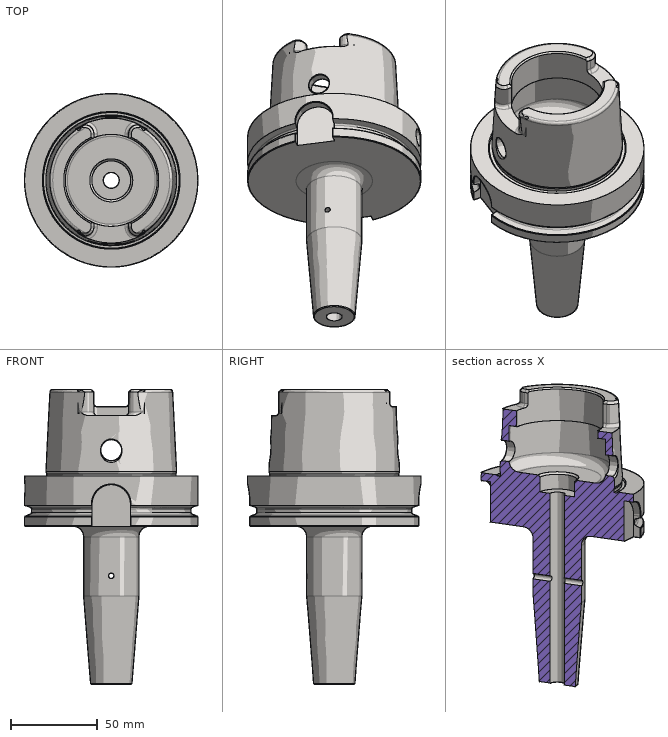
import cadquery as cq
import math


SHANK_LENGTH = 49.9
SHANK_BASE_RADIUS = 37.85
SHANK_TAPER = 0.05
SHANK_TOP_ROUND = 1.7
RELIEF_HEIGHT = 2.5
RELIEF_RADIUS = 37.3
RELIEF_FACE_RADIUS = 39.7
RELIEF_DEPTH = 0.6

FLANGE_RADIUS = 50.0
FLANGE_HEIGHT = 29.0
GROOVE_CENTRE_Z = -20.0
GROOVE_FLOOR_RADIUS = 46.0
GROOVE_FLOOR_WIDTH = 3.4
GROOVE_MOUTH_WIDTH = 6.2
GROOVE_FILLET = 1.1
RIM_CHAMFER = 0.4

TOTAL_NOSE = 120.0
NECK_RADIUS = 16.0
NECK_FILLET = 6.0
TIP_RADIUS = 12.0
TIP_EDGE = 0.5
NOSE_CONE_ANGLE = 4.5

BORE_RADIUS = 26.5
BORE_CHAMFER = 0.9
BORE_LENGTH = 19.7
CAVITY_RADIUS = 31.5
CAVITY_WALL_DEPTH = 40.2
CAVITY_FILLET = 6.2
CAVITY_WALL_END_Z = SHANK_LENGTH - CAVITY_WALL_DEPTH
CAVITY_FLOOR_Z = CAVITY_WALL_END_Z - CAVITY_FILLET
POCKET_RADIUS = 11.2
POCKET_MOUTH_RADIUS = 12.4
POCKET_DEPTH = 10.0
COOLANT_RADIUS = 4.5

SLOT_WIDTH = 20.0
SLOT_DEPTH_FRONT = 15.1
SLOT_DEPTH_REAR = 10.0
SLOT_POST_RADIUS = 5.2
SLOT_POST_Y = 26.8
SLOT_POST_WRAP = 20.0
SLOT_FLOOR_FILLET = 2.0
SLOT_MOUTH_CHAMFER = 1.6

KEYWAY_WIDTH = 22.0
KEYWAY_TOP_Z = -5.0
KEYWAY_FLOOR_Y = 44.0
KEYWAY_CHAMFER = 0.4
KEYWAY_RIM_Y = 48.6

SHANK_HOLE_DIAMETER = 12.0
SHANK_HOLE_Z = 14.9
SHANK_HOLE_CONE_Y = 36.4
SHANK_HOLE_SINK = 3.0
SHANK_HOLE_OVERLAP = 0.6
CHIP_HOLE_DIAMETER = 10.0
CHIP_HOLE_Z = -7.0
CHIP_HOLE_DEPTH = 4.6
NECK_HOLE_DIAMETER = 3.0
NECK_HOLE_Z = -57.5

MARGIN = 5.0


def shank_radius(z):
    return SHANK_BASE_RADIUS - SHANK_TAPER * z


def outer_body():
    cone_length = (NECK_RADIUS - TIP_RADIUS) / math.tan(math.radians(NOSE_CONE_ANGLE))
    fillet_mid = NECK_FILLET * (1 - math.sqrt(0.5))
    round_start = SHANK_LENGTH - SHANK_TOP_ROUND
    round_mid = SHANK_TOP_ROUND * (1 - math.sqrt(0.5))
    top_radius = shank_radius(round_start)
    return (
        cq.Workplane("XZ")
        .moveTo(0, -TOTAL_NOSE)
        .lineTo(TIP_RADIUS - TIP_EDGE, -TOTAL_NOSE)
        .lineTo(TIP_RADIUS, -TOTAL_NOSE + TIP_EDGE)
        .lineTo(NECK_RADIUS, -TOTAL_NOSE + cone_length)
        .lineTo(NECK_RADIUS, -FLANGE_HEIGHT - NECK_FILLET)
        .threePointArc(
            (NECK_RADIUS + fillet_mid, -FLANGE_HEIGHT - fillet_mid),
            (NECK_RADIUS + NECK_FILLET, -FLANGE_HEIGHT),
        )
        .lineTo(FLANGE_RADIUS - RIM_CHAMFER, -FLANGE_HEIGHT)
        .lineTo(FLANGE_RADIUS, -FLANGE_HEIGHT + RIM_CHAMFER)
        .lineTo(FLANGE_RADIUS, 0)
        .lineTo(RELIEF_FACE_RADIUS, 0)
        .lineTo(RELIEF_FACE_RADIUS - RELIEF_DEPTH, -RELIEF_DEPTH)
        .lineTo(RELIEF_RADIUS, -RELIEF_DEPTH)
        .lineTo(RELIEF_RADIUS, RELIEF_HEIGHT / 2)
        .lineTo(shank_radius(RELIEF_HEIGHT), RELIEF_HEIGHT)
        .lineTo(top_radius, round_start)
        .threePointArc(
            (top_radius - round_mid, SHANK_LENGTH - round_mid),
            (top_radius - SHANK_TOP_ROUND, SHANK_LENGTH),
        )
        .lineTo(0, SHANK_LENGTH)
        .close()
        .revolve(360, (0, 0), (0, 1))
    )


def gripper_groove():
    half_mouth = GROOVE_MOUTH_WIDTH / 2
    half_floor = GROOVE_FLOOR_WIDTH / 2
    lower_mouth_z = GROOVE_CENTRE_Z - half_mouth
    return (
        cq.Workplane("XZ")
        .moveTo(GROOVE_FLOOR_RADIUS, GROOVE_CENTRE_Z - half_floor)
        .lineTo(FLANGE_RADIUS - RIM_CHAMFER, lower_mouth_z)
        .lineTo(FLANGE_RADIUS + RIM_CHAMFER, lower_mouth_z - 2 * RIM_CHAMFER)
        .lineTo(FLANGE_RADIUS + RIM_CHAMFER, GROOVE_CENTRE_Z + half_mouth)
        .lineTo(FLANGE_RADIUS, GROOVE_CENTRE_Z + half_mouth)
        .lineTo(GROOVE_FLOOR_RADIUS, GROOVE_CENTRE_Z + half_floor)
        .close()
        .revolve(360, (0, 0), (0, 1))
        .edges(cq.selectors.RadiusNthSelector(0))
        .fillet(GROOVE_FILLET)
    )


def axial_bores():
    fillet_mid = CAVITY_FILLET * (1 - math.sqrt(0.5))
    shoulder_z = SHANK_LENGTH - BORE_LENGTH
    pocket_z = CAVITY_FLOOR_Z - POCKET_DEPTH
    pocket_step = POCKET_MOUTH_RADIUS - POCKET_RADIUS
    return (
        cq.Workplane("XZ")
        .moveTo(0, -TOTAL_NOSE - MARGIN)
        .lineTo(COOLANT_RADIUS, -TOTAL_NOSE - MARGIN)
        .lineTo(COOLANT_RADIUS, pocket_z)
        .lineTo(POCKET_RADIUS, pocket_z)
        .lineTo(POCKET_RADIUS, CAVITY_FLOOR_Z - pocket_step)
        .lineTo(POCKET_MOUTH_RADIUS, CAVITY_FLOOR_Z)
        .lineTo(CAVITY_RADIUS - CAVITY_FILLET, CAVITY_FLOOR_Z)
        .threePointArc(
            (CAVITY_RADIUS - fillet_mid, CAVITY_FLOOR_Z + fillet_mid),
            (CAVITY_RADIUS, CAVITY_WALL_END_Z),
        )
        .lineTo(CAVITY_RADIUS, shoulder_z)
        .lineTo(BORE_RADIUS, shoulder_z)
        .lineTo(BORE_RADIUS, SHANK_LENGTH - BORE_CHAMFER)
        .lineTo(BORE_RADIUS + BORE_CHAMFER, SHANK_LENGTH)
        .lineTo(BORE_RADIUS + BORE_CHAMFER, SHANK_LENGTH + MARGIN)
        .lineTo(0, SHANK_LENGTH + MARGIN)
        .close()
        .revolve(360, (0, 0), (0, 1))
    )


def slot_outline(z):
    """Slot toward +Y whose walls wrap round a post at each side before running outward."""
    half = SLOT_WIDTH / 2
    post_x = half + SLOT_POST_RADIUS
    post_angle = math.atan2(SLOT_POST_Y, post_x)
    exit_angle = post_angle - math.radians(SLOT_POST_WRAP)
    mid_angle = (math.pi + exit_angle) / 2
    mid_x = post_x + SLOT_POST_RADIUS * math.cos(mid_angle)
    mid_y = SLOT_POST_Y + SLOT_POST_RADIUS * math.sin(mid_angle)
    exit_x = post_x + SLOT_POST_RADIUS * math.cos(exit_angle)
    exit_y = SLOT_POST_Y + SLOT_POST_RADIUS * math.sin(exit_angle)
    outer_x = FLANGE_RADIUS * math.cos(post_angle)
    outer_y = FLANGE_RADIUS * math.sin(post_angle)
    return (
        cq.Workplane("XY", origin=(0, 0, z))
        .moveTo(-half, 0)
        .lineTo(-half, SLOT_POST_Y)
        .threePointArc((-mid_x, mid_y), (-exit_x, exit_y))
        .lineTo(-outer_x, outer_y)
        .lineTo(outer_x, outer_y)
        .lineTo(exit_x, exit_y)
        .threePointArc((mid_x, mid_y), (half, SLOT_POST_Y))
        .lineTo(half, 0)
        .close()
    )


def drive_slot(depth):
    groove = (
        slot_outline(SHANK_LENGTH - depth)
        .extrude(depth)
        .faces("<Z")
        .edges()
        .fillet(SLOT_FLOOR_FILLET)
    )
    mouth = slot_outline(SHANK_LENGTH - SLOT_MOUTH_CHAMFER).extrude(SLOT_MOUTH_CHAMFER, taper=-45)
    return groove.union(mouth)


def keyway():
    """Round-topped keyway toward +Y, open at the lower flange face."""
    radius = KEYWAY_WIDTH / 2
    arc_z = KEYWAY_TOP_Z - radius
    bottom = -FLANGE_HEIGHT - MARGIN
    return (
        cq.Workplane("XZ", origin=(0, KEYWAY_FLOOR_Y, 0))
        .moveTo(-radius, bottom)
        .lineTo(-radius, arc_z)
        .threePointArc((0, KEYWAY_TOP_Z), (radius, arc_z))
        .lineTo(radius, bottom)
        .close()
        .extrude(-(FLANGE_RADIUS - KEYWAY_FLOOR_Y + MARGIN))
    )


def shank_hole():
    """Countersunk access hole toward +Y through the shank wall only."""
    radius = SHANK_HOLE_DIAMETER / 2
    start_y = CAVITY_RADIUS - SHANK_HOLE_OVERLAP
    drill = (
        cq.Workplane("XZ", origin=(0, start_y, SHANK_HOLE_Z))
        .circle(radius)
        .extrude(start_y - SHANK_BASE_RADIUS - SHANK_HOLE_SINK)
    )
    sink = (
        cq.Workplane("XZ", origin=(0, SHANK_HOLE_CONE_Y, SHANK_HOLE_Z))
        .circle(radius)
        .extrude(-SHANK_HOLE_SINK, taper=-45)
    )
    return drill.union(sink)


def neck_hole():
    reach = NECK_RADIUS + MARGIN
    return (
        cq.Workplane("XZ", origin=(0, reach, NECK_HOLE_Z))
        .circle(NECK_HOLE_DIAMETER / 2)
        .extrude(2 * reach)
    )


def chip_hole():
    start = (-FLANGE_RADIUS - MARGIN, 0, CHIP_HOLE_Z)
    return (
        cq.Workplane("YZ", origin=start)
        .circle(CHIP_HOLE_DIAMETER / 2)
        .extrude(CHIP_HOLE_DEPTH + MARGIN)
    )


def to_front(cutter):
    return cutter.rotate((0, 0, 0), (0, 0, 1), 180)


def chamfer_keyway_rim(body, side):
    """Chamfer the outer keyway edges on the side given by the sign of Y."""
    low = (-KEYWAY_WIDTH / 2 - KEYWAY_CHAMFER, side * KEYWAY_RIM_Y, -FLANGE_HEIGHT)
    high = (KEYWAY_WIDTH / 2 + KEYWAY_CHAMFER, side * (FLANGE_RADIUS + MARGIN), 0)
    return body.edges(cq.selectors.BoxSelector(low, high)).chamfer(KEYWAY_CHAMFER)


flange = outer_body().cut(gripper_groove()).cut(keyway()).cut(to_front(keyway()))
flange = chamfer_keyway_rim(flange, 1)
flange = chamfer_keyway_rim(flange, -1)

result = (
    flange
    .cut(axial_bores())
    .cut(drive_slot(SLOT_DEPTH_REAR))
    .cut(to_front(drive_slot(SLOT_DEPTH_FRONT)))
    .cut(shank_hole())
    .cut(to_front(shank_hole()))
    .cut(neck_hole())
    .cut(chip_hole())
)